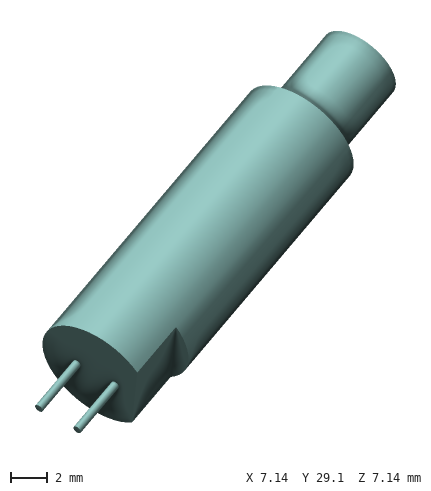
import cadquery as cq

body_diameter = 7.14
body_length = 19.65
tip_diameter = 4.83
tip_length = 5.75
pin_diameter = 0.5
pin_length = 3.68
pin_spacing = 2.54

flat_length = 3.73
flat_offset = 2.56
flat_tilt = 4.1


def cylinder_along_y(diameter, y_start, length, x=0):
    """Cylinder parallel to Y, starting at y_start and running toward +Y."""
    return cq.Workplane("XZ", origin=(x, y_start, 0)).circle(diameter / 2).extrude(-length)


def flat_cutter():
    """Block that removes everything beyond the tilted flat at the pin end."""
    block = cq.Workplane("XY").box(
        body_diameter, flat_length, 2 * body_diameter, centered=(False, False, True)
    )
    placed = block.translate((flat_offset, 0, 0))
    return placed.rotate((0, 0, 0), (0, 1, 0), flat_tilt)


body = cylinder_along_y(body_diameter, 0, body_length)
body = body.cut(flat_cutter())

tip = cylinder_along_y(tip_diameter, body_length, tip_length)
result = body.union(tip)

for side in (-1, 1):
    pin = cylinder_along_y(pin_diameter, -pin_length, pin_length, side * pin_spacing / 2)
    result = result.union(pin)